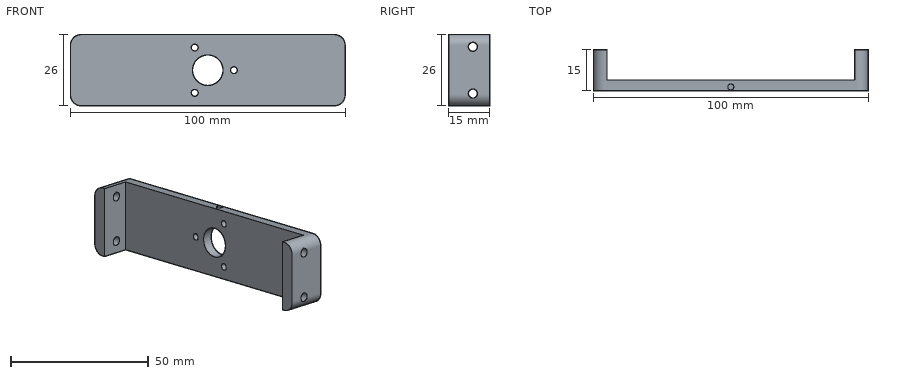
import cadquery as cq

length = 100.0
depth = 15.0
height = 26.0
corner_radius = 4.0
plate_thickness = 4.0
flange_thickness = 5.0

center_bore_diameter = 11.0
mount_hole_diameter = 2.4
mount_circle_radius = 9.5
mount_hole_count = 3

flange_hole_diameter = 3.2
flange_hole_spacing = 17.0
flange_hole_y = 8.8

screw_hole_diameter = 2.2
screw_hole_y = 1.4


def make_body():
    """Rounded block, hollowed from the back between the flanges."""
    block = (
        cq.Workplane("XY")
        .box(length, depth, height, centered=(True, False, True))
        .edges("|Y")
        .fillet(corner_radius)
    )
    opening = (
        cq.Workplane("XY")
        .box(length - 2 * flange_thickness, depth, height, centered=(True, False, True))
        .translate((0, plate_thickness, 0))
    )
    return block.cut(opening)


def make_plate_holes():
    """Center bore and its ring of mounting holes, along Y."""
    face = cq.Workplane("XZ")
    bore = face.circle(center_bore_diameter / 2).extrude(-plate_thickness)
    mounts = (
        face.polarArray(mount_circle_radius, 0, 360, mount_hole_count)
        .circle(mount_hole_diameter / 2)
        .extrude(-plate_thickness)
    )
    return bore.union(mounts)


def make_flange_holes():
    """Pairs of holes through both flanges, along X."""
    half_spacing = flange_hole_spacing / 2
    return (
        cq.Workplane("YZ")
        .pushPoints([(flange_hole_y, -half_spacing), (flange_hole_y, half_spacing)])
        .circle(flange_hole_diameter / 2)
        .extrude(length / 2, both=True)
    )


def make_screw_hole():
    """Vertical hole from the top edge down to the center bore."""
    return (
        cq.Workplane("XY")
        .center(0, screw_hole_y)
        .circle(screw_hole_diameter / 2)
        .extrude(height / 2)
    )


result = make_body().cut(make_plate_holes()).cut(make_flange_holes()).cut(make_screw_hole())